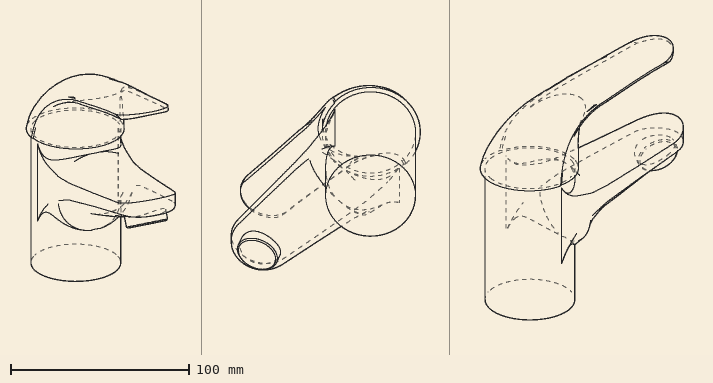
import cadquery as cq
import math

body_radius = 25.3
body_height = 82.7

total_height = 133.6
spout_tip_x = 104.8
lever_tip_x = 98.1
lever_base_radius = 55.5 / 2

spout_root_half_width = 25.5
spout_side_slope = 0.089
spout_round_start_x = 88.9
root_sections = [
    (2.7, 32.0, 79.5, 26.7, 81.5),
    (6.7, 38.5, 74.5, 26.7, 81.2),
    (13.4, 46.1, 70.8, 27.4, 80.5),
    (25.1, 53.2, 68.4, 30.7, 78.3),
]
bend_sections = [
    root_sections[-1],
    (26.7, 54.1, 68.3, 35.3, 77.0),
    (29.4, 55.3, 68.4, 39.4, 75.9),
    (37.4, 58.5, 69.0, 45.8, 75.2),
]
arm_sections = [
    bend_sections[-1],
    (70.8, 66.7, 74.3, 57.9, 79.1),
    (106.2, 74.3, 80.7, 73.2, 82.8),
]

aerator_diameter = 23.6
aerator_length = 13.4
aerator_chamfer = 0.8
aerator_face_x = 91.7
aerator_face_z = 61.5
aerator_tilt = math.radians(26.6)

lever_lip = 2.1
lever_lip_inset = 1.1
lever_tip_underside = [(80.6, 126.4), (90.9, 128.5), (98.3, 132.0)]
lever_round_start_x = 82.2
lever_end_half_width = 15.9
hood_sections = [
    (0.0, body_height, -28.0, body_height, lever_base_radius),
    (3.5, 95.5, -18.7, 100.0, 25.9),
    (13.2, 108.1, 1.6, 116.4, 22.2),
    (24.9, 114.9, 17.1, 122.1, 19.1),
    (40.1, 119.7, 36.1, 126.9, 17.6),
]
lever_tip_sections = [
    hood_sections[-1],
    (63.6, 125.2, 62.0, 131.1, 16.5),
    (82.0, 129.0, 81.0, 133.0, lever_end_half_width),
    (100.2, 131.2, 98.1, total_height, lever_end_half_width),
]

neck_overlap = 2.1
neck_sections = [
    (body_height, 0.0, 27.3, 27.1),
    (95.5, 3.2, 27.7, 25.4),
    (108.1, 13.0, 29.7, 21.6),
    (114.9, 24.0, 33.4, 18.6),
    (118.9, 34.7, 39.4, 17.1),
]


def loft_wires(wires):
    return cq.Workplane(obj=cq.Solid.makeLoft(wires))


def rounded_plan(start_x, half_width_back, half_width_front, round_x, tip_x):
    """Vertical prism with straight sides and a rounded front end."""
    return (
        cq.Workplane("XY")
        .moveTo(start_x, -half_width_back)
        .lineTo(round_x, -half_width_front)
        .threePointArc((tip_x, 0), (round_x, half_width_front))
        .lineTo(start_x, half_width_back)
        .close()
        .extrude(2 * total_height)
    )


def spout_half_width(x):
    return spout_root_half_width - spout_side_slope * x


def spout_wire(x, wall_bottom, wall_top, middle_bottom, middle_top):
    """Flat side walls joined by a domed top and a bulged underside."""
    half = spout_half_width(x)
    low_right = cq.Vector(x, -half, wall_bottom)
    high_right = cq.Vector(x, -half, wall_top)
    high_left = cq.Vector(x, half, wall_top)
    low_left = cq.Vector(x, half, wall_bottom)
    return cq.Wire.assembleEdges([
        cq.Edge.makeLine(low_right, high_right),
        cq.Edge.makeThreePointArc(high_right, cq.Vector(x, 0, middle_top), high_left),
        cq.Edge.makeLine(high_left, low_left),
        cq.Edge.makeThreePointArc(low_left, cq.Vector(x, 0, middle_bottom), low_right),
    ])


def make_spout():
    root = loft_wires([spout_wire(*section) for section in root_sections])
    bend = loft_wires([spout_wire(*section) for section in bend_sections])
    arm = loft_wires([spout_wire(*section) for section in arm_sections])
    plan = rounded_plan(
        0,
        spout_half_width(0),
        spout_half_width(spout_round_start_x),
        spout_round_start_x,
        spout_tip_x,
    )
    return root.union(bend).union(arm.intersect(plan))


def make_aerator():
    axis = cq.Vector(-math.sin(aerator_tilt), 0, math.cos(aerator_tilt))
    face = cq.Plane(origin=(aerator_face_x, 0, aerator_face_z), xDir=(0, 1, 0), normal=axis.toTuple())
    outlet = cq.Workplane(face).circle(aerator_diameter / 2).extrude(aerator_length)
    return outlet.edges("<Z").chamfer(aerator_chamfer)


def lever_wire(edge_x, edge_z, crown_x, crown_z, half_width):
    """Domed section leaning from the side edges to the crown, with a lip."""
    edge_right = cq.Vector(edge_x, -half_width, edge_z)
    edge_left = cq.Vector(edge_x, half_width, edge_z)
    crown = cq.Vector(crown_x, 0, crown_z)
    lip = (cq.Vector(edge_x, 0, edge_z) - crown).normalized() * lever_lip
    lip_right = edge_right + lip + cq.Vector(0, lever_lip_inset, 0)
    lip_left = edge_left + lip - cq.Vector(0, lever_lip_inset, 0)
    return cq.Wire.assembleEdges([
        cq.Edge.makeThreePointArc(edge_right, crown, edge_left),
        cq.Edge.makeLine(edge_left, lip_left),
        cq.Edge.makeLine(lip_left, lip_right),
        cq.Edge.makeLine(lip_right, edge_right),
    ])


def make_lever():
    hood = loft_wires([lever_wire(*section) for section in hood_sections])
    tip = loft_wires([lever_wire(*section) for section in lever_tip_sections])
    plan = rounded_plan(
        0,
        lever_base_radius,
        lever_end_half_width,
        lever_round_start_x,
        lever_tip_x,
    )
    start, middle, end = lever_tip_underside
    tip_cut = (
        cq.Workplane("XZ")
        .moveTo(*start)
        .threePointArc(middle, end)
        .lineTo(end[0], body_height)
        .lineTo(start[0], body_height)
        .close()
        .extrude(lever_base_radius, both=True)
    )
    return hood.union(tip.intersect(plan).cut(tip_cut))


def neck_wire(z, back_x, front_x, half_width):
    """Flat-backed round section, lengthened backward into the hood."""
    back_right = cq.Vector(back_x - neck_overlap, -half_width, z)
    back_left = cq.Vector(back_x - neck_overlap, half_width, z)
    side_right = cq.Vector(back_x, -half_width, z)
    side_left = cq.Vector(back_x, half_width, z)
    return cq.Wire.assembleEdges([
        cq.Edge.makeLine(back_right, side_right),
        cq.Edge.makeThreePointArc(side_right, cq.Vector(front_x, 0, z), side_left),
        cq.Edge.makeLine(side_left, back_left),
        cq.Edge.makeLine(back_left, back_right),
    ])


def make_neck():
    return loft_wires([neck_wire(*section) for section in neck_sections])


body = cq.Workplane("XY").circle(body_radius).extrude(body_height)
result = body.union(make_spout()).union(make_aerator()).union(make_lever()).union(make_neck())